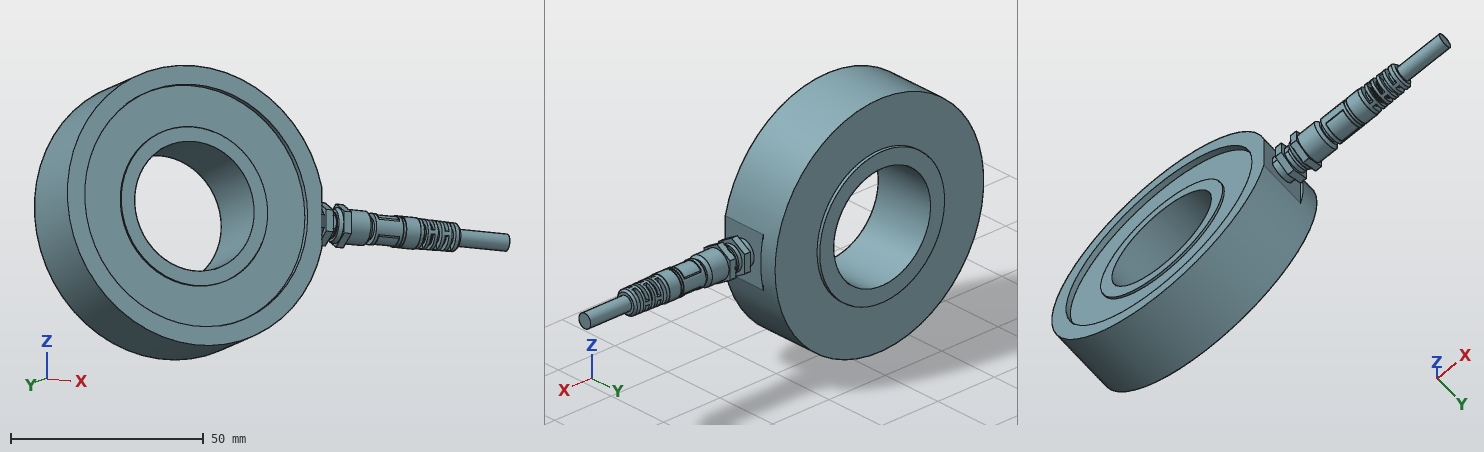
import cadquery as cq
import math


ring_diameter = 74.0
ring_width = 19.9
bore_diameter = 34.3
recess_inner_diameter = 42.0
recess_outer_diameter = 64.0
recess_depth = 1.7
boss_diameter = 44.3
inner_ring_shift = 1.0
flat_x = 36.1
flat_width = 14.5

axis_y = 7.0
coupling_start = 42.3
plug_start = 52.3
boot_start = 66.0
boot_end = 77.9
overall_length = 129.4
cable_end = overall_length - ring_diameter / 2

thread_diameter = 8.0
thread_chamfer = 0.5
thread_end = 42.0
receptacle_neck_diameter = 7.0
key_flat_offset = 3.6

hex_across_flats = 10.0
hex_length = 2.1
nut_start = 38.3

coupling_hex_start = 43.5
cone_start_diameter = 8.5
cone_end_diameter = 9.5
sleeve_diameter = 9.0
sleeve_chamfer = 0.9

plug_diameter = 8.3
plug_neck_diameter = 5.7
plug_neck_length = 0.9
plug_groove_start = 61.1
plug_groove_width = 0.8
plug_groove_diameter = 7.8
panel_start = 54.2
panel_end = 60.2
panel_width = 6.6
panel_diameter = 7.8

cable_diameter = 4.5
boot_start_diameter = 8.0
boot_end_diameter = 7.5
boot_chamfer = 0.6
slot_count = 5
slot_start = 67.0
slot_width = 1.1
disc_width = 0.9
hub_diameter = 5.5
hub_overhang = 0.32
hub_count = 2
bridge_width = 1.2

slot_pitch = slot_width + disc_width
across_corners = hex_across_flats / math.cos(math.pi / 6)


def turned(profile):
    """Revolve (x, radius) points, closed along the connector axis, about that axis."""
    points = [(profile[0][0], 0), *profile, (profile[-1][0], 0)]
    sketch = cq.Workplane("XY", origin=(0, axis_y, 0)).polyline(points).close()
    return sketch.revolve(360, (0, 0), (1, 0))


def rod(start, end, diameter):
    """Cylinder on the connector axis between two X positions."""
    return turned([(start, diameter / 2), (end, diameter / 2)])


def axis_box(start, end, y_size, z_size):
    """Box centred on the connector axis between two X positions."""
    box = cq.Workplane("XY").box(end - start, y_size, z_size, centered=(False, True, True))
    return box.translate((start, axis_y, 0))


def hexagon(start):
    """Hexagonal prism on the connector axis with corners at +Z and -Z."""
    plane = cq.Workplane("YZ", origin=(start, axis_y, 0))
    return plane.transformed(rotate=(0, 0, 90)).polygon(6, across_corners).extrude(hex_length)


def disc(y_start, y_end, diameter):
    """Cylinder on the ring axis between two Y positions."""
    return cq.Workplane("XZ", origin=(0, y_start, 0)).circle(diameter / 2).extrude(y_start - y_end)


def make_housing():
    """Ring with a front recess around a set-back inner ring, a rear boss and a connector flat."""
    ring_back = ring_width + inner_ring_shift
    body = disc(0, ring_width, ring_diameter).union(disc(ring_width, ring_back, boss_diameter))
    recess = disc(0, recess_depth, recess_outer_diameter)
    recess = recess.cut(disc(0, recess_depth, recess_inner_diameter))
    flat = cq.Workplane("XY").box(
        ring_diameter, flat_width, ring_diameter, centered=(False, False, True)
    ).translate((flat_x, 0, 0))
    recess = recess.union(disc(0, inner_ring_shift, recess_inner_diameter))
    return body.cut(recess).cut(disc(0, ring_back, bore_diameter)).cut(flat)


def make_receptacle():
    """Threaded stub with a key flat on its -Y side and a neck that meets the coupling."""
    thread_radius = thread_diameter / 2
    stub = turned([
        (flat_x, thread_radius),
        (thread_end - thread_chamfer, thread_radius),
        (thread_end, thread_radius - thread_chamfer),
    ])
    stub = stub.union(rod(thread_end, coupling_start, receptacle_neck_diameter))
    key_cut = axis_box(flat_x, coupling_start, thread_diameter, thread_diameter)
    return stub.cut(key_cut.translate((0, -key_flat_offset - thread_diameter / 2, 0)))


def make_nut(receptacle):
    """Lock nut whose hole matches the flatted thread."""
    return hexagon(nut_start).cut(receptacle)


def make_coupling():
    """Coupling with a lead-in cone, a hexagon and a chamfered sleeve."""
    sleeve_radius = sleeve_diameter / 2
    cone = turned([
        (coupling_start, cone_start_diameter / 2),
        (coupling_hex_start, cone_end_diameter / 2),
    ])
    sleeve = turned([
        (coupling_hex_start, sleeve_radius),
        (plug_start - sleeve_chamfer, sleeve_radius),
        (plug_start, sleeve_radius - sleeve_chamfer),
    ])
    return cone.union(hexagon(coupling_hex_start)).union(sleeve)


def make_plug():
    """Plug body with a neck, two shallow curved grip panels and a ring groove."""
    neck_end = plug_start + plug_neck_length
    plug = rod(plug_start, neck_end, plug_neck_diameter)
    plug = plug.union(rod(neck_end, boot_start, plug_diameter))
    panels = axis_box(panel_start, panel_end, panel_width, plug_diameter)
    panels = panels.cut(rod(panel_start, panel_end, panel_diameter))
    groove_end = plug_groove_start + plug_groove_width
    groove = rod(plug_groove_start, groove_end, plug_diameter)
    groove = groove.cut(rod(plug_groove_start, groove_end, plug_groove_diameter))
    return plug.cut(panels).cut(groove)


def make_boot():
    """Tapered flexible boot, slotted through to the cable with bridges that alternate by 90 degrees."""
    end_radius = boot_end_diameter / 2
    boot = turned([
        (boot_start, boot_start_diameter / 2),
        (boot_end - boot_chamfer, end_radius),
        (boot_end, end_radius - boot_chamfer),
    ])
    for index in range(slot_count):
        start = slot_start + index * slot_pitch
        end = start + slot_width
        if index % 2 == 0:
            bridges = axis_box(start, end, bridge_width, plug_diameter)
        else:
            bridges = axis_box(start, end, plug_diameter, bridge_width)
        boot = boot.cut(rod(start, end, plug_diameter).cut(bridges))
    for index in range(hub_count):
        disc_start = slot_start + slot_width + index * slot_pitch
        disc_end = disc_start + disc_width
        boot = boot.union(rod(disc_start - hub_overhang, disc_end + hub_overhang, hub_diameter))
    return boot.cut(rod(boot_start, boot_end, cable_diameter))


housing = make_housing()
receptacle = make_receptacle()
nut = make_nut(receptacle)
coupling = make_coupling()
plug = make_plug()
boot = make_boot()
cable = rod(boot_start, cable_end, cable_diameter)

result = cq.Compound.makeCompound([
    housing.val(),
    receptacle.val(),
    nut.val(),
    coupling.val(),
    plug.val(),
    boot.val(),
    cable.val(),
])